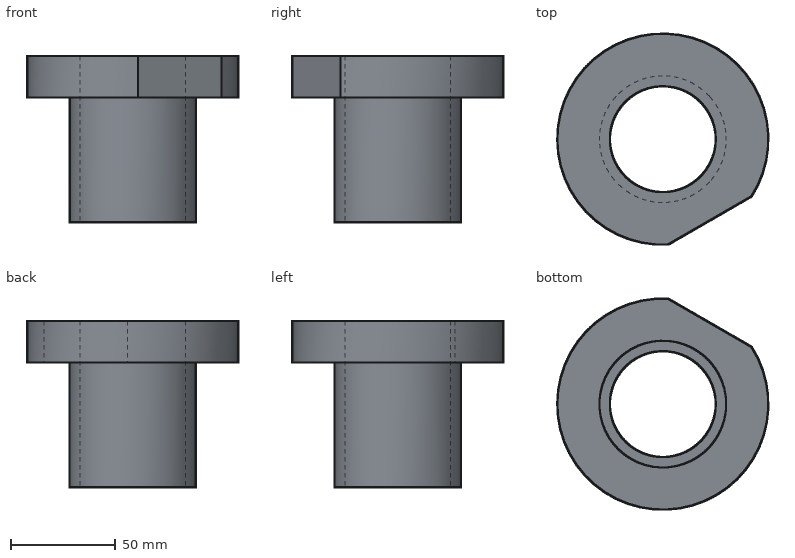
import cadquery as cq

flange_diameter = 101.5
sleeve_diameter = 60.9
bore_diameter = 50.8
total_height = 80.0
flange_thickness = 20.0
flat_distance = 45.2
flat_angle = -60.0

sleeve_length = total_height - flange_thickness


def make_flange_disc():
    """Disc above the sleeve, with one flat cut into its rim."""
    flange_plane = cq.Workplane("XY", origin=(0, 0, sleeve_length))
    disc = flange_plane.circle(flange_diameter / 2).extrude(flange_thickness)
    beyond_flat = (
        flange_plane.transformed(rotate=(0, 0, flat_angle))
        .center(flat_distance + flange_diameter / 2, 0)
        .rect(flange_diameter, flange_diameter)
        .extrude(flange_thickness)
    )
    return disc.cut(beyond_flat)


def make_bushing():
    """Flanged bushing: a sleeve under the flange, with one bore through both."""
    sleeve = cq.Workplane("XY").circle(sleeve_diameter / 2).extrude(sleeve_length)
    bore = cq.Workplane("XY").circle(bore_diameter / 2).extrude(total_height)
    return sleeve.union(make_flange_disc()).cut(bore)


bushing = make_bushing()

result = cq.Compound.makeCompound([bushing.solids().val()])